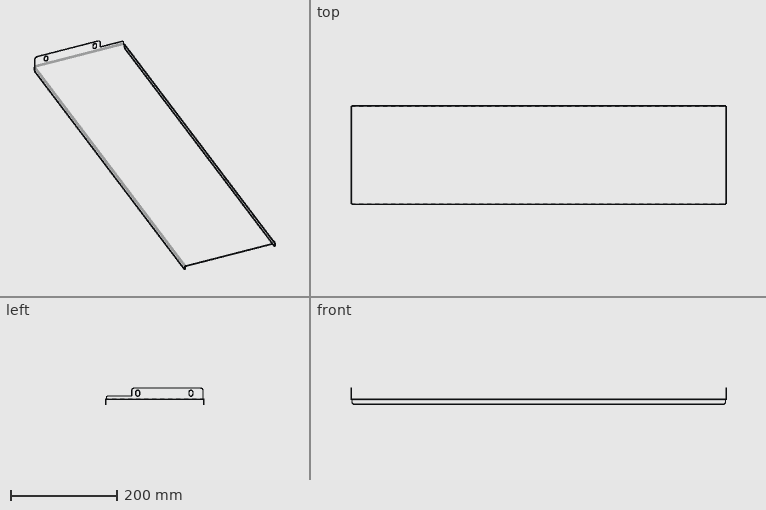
import cadquery as cq
import math

length = 706.0
width = 186.0
height = 30.8

thickness = 1.2
inner_radius = 0.8
outer_radius = inner_radius + thickness

lip_drop = 10.0
panel_top = lip_drop
panel_bottom = panel_top - thickness
corner_gap = 2.0

lip_length = length - 2 * corner_gap
lip_end_run = 2.5
lip_end_rise = 3.0

flange_front = -width / 2 + corner_gap
flange_back = width / 2 - corner_gap
flange_step = 43.5
low_flange_top = 15.8
low_flange_chamfer = 2.0
tall_flange_radius = 5.0

slot_width = 7.0
slot_height = 11.0
slot_z = 21.0
slot_back = 32.0
slot_spacing = 100.0


def bent_strip(edge, reach):
    """Section in XZ of a bend and its upright leg, rising from a panel whose underside is at Z = 0."""
    bend_start = edge - outer_radius
    inner_face = edge - thickness
    diagonal = math.cos(math.radians(45))
    return (
        cq.Workplane("XZ")
        .moveTo(bend_start, 0)
        .threePointArc(
            (bend_start + outer_radius * diagonal, outer_radius * (1 - diagonal)),
            (edge, outer_radius),
        )
        .lineTo(edge, reach)
        .lineTo(inner_face, reach)
        .lineTo(inner_face, outer_radius)
        .threePointArc(
            (bend_start + inner_radius * diagonal, outer_radius - inner_radius * diagonal),
            (bend_start, thickness),
        )
        .close()
    )


def make_panel():
    return cq.Workplane("XY").box(
        length - 2 * outer_radius,
        width - 2 * outer_radius,
        thickness,
        centered=(True, True, False),
    ).translate((0, 0, panel_bottom))


def make_lip():
    """Lip along the back edge, with its lower ends cut at a slant."""
    strip = bent_strip(width / 2, lip_drop).extrude(lip_length / 2, both=True)
    strip = strip.rotate((0, 0, 0), (1, 0, 0), 180)
    strip = strip.rotate((0, 0, 0), (0, 0, 1), 90).translate((0, 0, panel_top))
    half = lip_length / 2
    outline = (
        cq.Workplane("XZ")
        .polyline([
            (-half, panel_top),
            (-half, lip_end_rise),
            (-half + lip_end_run, 0),
            (half - lip_end_run, 0),
            (half, lip_end_rise),
            (half, panel_top),
        ])
        .close()
        .extrude(-width)
    )
    return strip.intersect(outline)


def make_flange():
    """Flange on the +X edge: low at the back, tall and slotted at the front."""
    strip = bent_strip(length / 2, height - panel_bottom).extrude(width / 2, both=True)
    strip = strip.translate((0, 0, panel_bottom))
    outline = (
        cq.Workplane("YZ")
        .moveTo(flange_front, panel_bottom)
        .lineTo(flange_back, panel_bottom)
        .lineTo(flange_back, low_flange_top - low_flange_chamfer)
        .lineTo(flange_back - low_flange_chamfer, low_flange_top)
        .lineTo(flange_step, low_flange_top)
        .lineTo(flange_step, height - tall_flange_radius)
        .radiusArc((flange_step - tall_flange_radius, height), -tall_flange_radius)
        .lineTo(flange_front + tall_flange_radius, height)
        .radiusArc((flange_front, height - tall_flange_radius), -tall_flange_radius)
        .close()
        .extrude(length)
    )
    slots = (
        cq.Workplane("YZ")
        .pushPoints([(slot_back, slot_z), (slot_back - slot_spacing, slot_z)])
        .slot2D(slot_height, slot_width, 90)
        .extrude(length)
    )
    return strip.intersect(outline).cut(slots)


lip = make_lip()
flange = make_flange()
result = (
    make_panel()
    .union(lip)
    .union(lip.mirror("XZ"))
    .union(flange)
    .union(flange.mirror("YZ"))
)